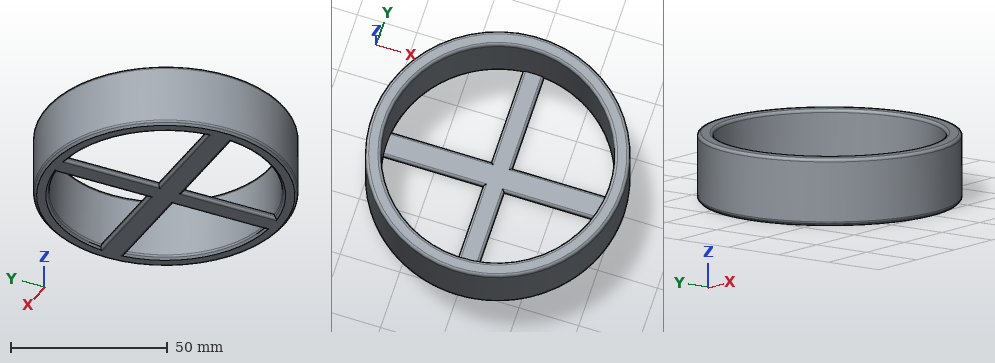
import cadquery as cq

outer_diameter = 84.5
inner_diameter = 74.5
height = 22.0
edge_radius = 1.0
bottom_chamfer = 1.0

x_bar_width = 8.5
y_bar_width = 7.0
bar_thickness = 2.0
bar_edge_radius = 0.85


def make_ring():
    """Open ring with rounded top edges and softened chamfers around the bottom."""
    ring = cq.Workplane("XY").circle(outer_diameter / 2).circle(inner_diameter / 2).extrude(height)
    ring = ring.faces("<Z").edges().chamfer(bottom_chamfer)
    outer_wall_edges = cq.selectors.RadiusNthSelector(-1)
    inner_wall_edges = cq.selectors.RadiusNthSelector(0)
    return ring.edges(outer_wall_edges + inner_wall_edges).fillet(edge_radius)


def make_cross():
    """Two crossing bars with rounded long edges, trimmed within the ring wall."""
    reach = (outer_diameter + inner_diameter) / 2
    x_bar = cq.Workplane("XY").box(reach, x_bar_width, bar_thickness, centered=(True, True, False))
    y_bar = cq.Workplane("XY").box(y_bar_width, reach, bar_thickness, centered=(True, True, False))
    cross = x_bar.union(y_bar)
    long_edges = cross.faces("<Z or >Z").edges().filter(lambda e: e.Length() > x_bar_width * 2)
    return long_edges.fillet(bar_edge_radius)


result = make_ring().union(make_cross())